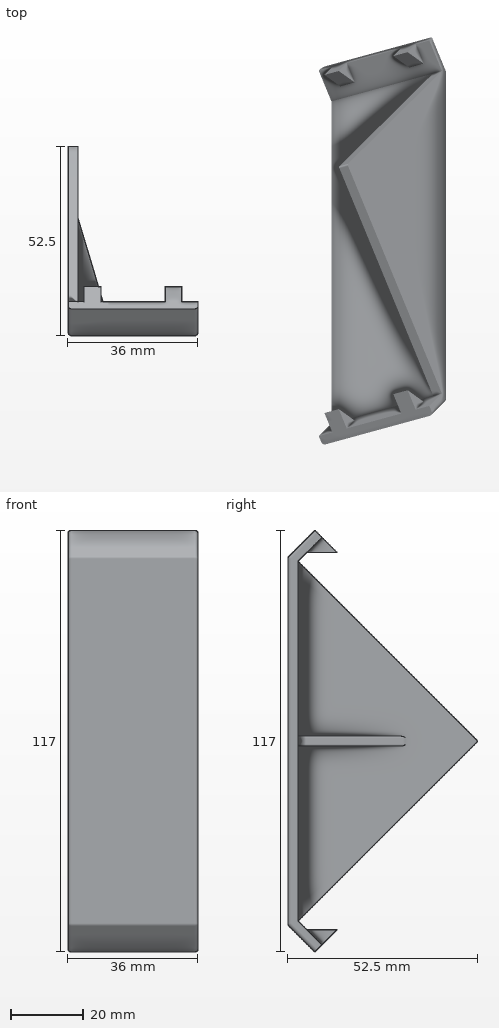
import cadquery as cq
import math

WIDTH = 36.0
DEPTH = 52.5
HEIGHT = 117.0

THICKNESS = 2.8
FLANGE_REACH = 7.5
LIP_REACH = 13.7
EDGE_RADIUS = 1.0

SMALL_RADIUS = 0.5

MARGIN = 0.1

LIP_WIDTH = 4.7
LIP_INSET = 4.5

RIB_WIDTH = 8.9
RIB_END = 32.5
RIB_THICKNESS = 2.8

half_height = HEIGHT / 2
bend_z = half_height - FLANGE_REACH
end_step = THICKNESS / math.sqrt(2)
inner_bend_z = bend_z - THICKNESS * math.tan(math.radians(22.5))
lip_z = half_height - (LIP_REACH - FLANGE_REACH)


def extrude_outline(points, start_x, width):
    """Extrude a closed (y, z) outline along +X."""
    return cq.Workplane("YZ").workplane(offset=start_x).polyline(points).close().extrude(width)


def edges_within(max_y, min_z, max_z):
    """Select edges whose centres lie between the front face and max_y, and in a height range."""
    return cq.selectors.BoxSelector((-MARGIN, -MARGIN, min_z), (WIDTH + MARGIN, max_y, max_z))


def make_channel():
    upper = [
        (0, bend_z),
        (FLANGE_REACH, half_height),
        (FLANGE_REACH + end_step, half_height - end_step),
        (THICKNESS, inner_bend_z),
    ]
    lower = [(y, -z) for y, z in reversed(upper)]
    channel = extrude_outline(upper + lower, 0, WIDTH)
    flange_middle = FLANGE_REACH / 2 + MARGIN
    plate_edges = edges_within(MARGIN, -half_height, half_height)
    top_flange_edges = edges_within(flange_middle, bend_z, half_height)
    bottom_flange_edges = edges_within(flange_middle, -half_height, -bend_z)
    return channel.edges(plate_edges + top_flange_edges + bottom_flange_edges).fillet(EDGE_RADIUS)


def make_side_wall():
    sharp_tip_y = DEPTH + SMALL_RADIUS * (math.sqrt(2) - 1)
    base_z = sharp_tip_y - THICKNESS
    outline = [
        (THICKNESS / 2, base_z),
        (THICKNESS, base_z),
        (sharp_tip_y, 0),
        (THICKNESS, -base_z),
        (THICKNESS / 2, -base_z),
    ]
    return extrude_outline(outline, 0, THICKNESS).edges("|X and >Y").fillet(SMALL_RADIUS)


def make_lip(start_x, side):
    """Triangular lip with a flat inner face; side is +1 for the top, -1 for the bottom."""
    flange_offset = bend_z - THICKNESS * math.sqrt(2)
    outline = [
        (FLANGE_REACH + end_step, half_height - end_step),
        (LIP_REACH, lip_z),
        (lip_z - flange_offset, lip_z),
    ]
    return extrude_outline([(y, side * z) for y, z in outline], start_x, LIP_WIDTH)


def make_rib():
    rib = (
        cq.Workplane("XY")
        .workplane(offset=-RIB_THICKNESS / 2)
        .moveTo(THICKNESS, THICKNESS)
        .lineTo(THICKNESS + RIB_WIDTH, THICKNESS)
        .lineTo(THICKNESS, RIB_END)
        .close()
        .extrude(RIB_THICKNESS)
    )
    return rib.edges("not(<X or <Y or |Z)").fillet(SMALL_RADIUS)


result = make_channel().union(make_side_wall()).union(make_rib())
for lip_x in (LIP_INSET, WIDTH - LIP_INSET - LIP_WIDTH):
    for side in (1, -1):
        result = result.union(make_lip(lip_x, side))